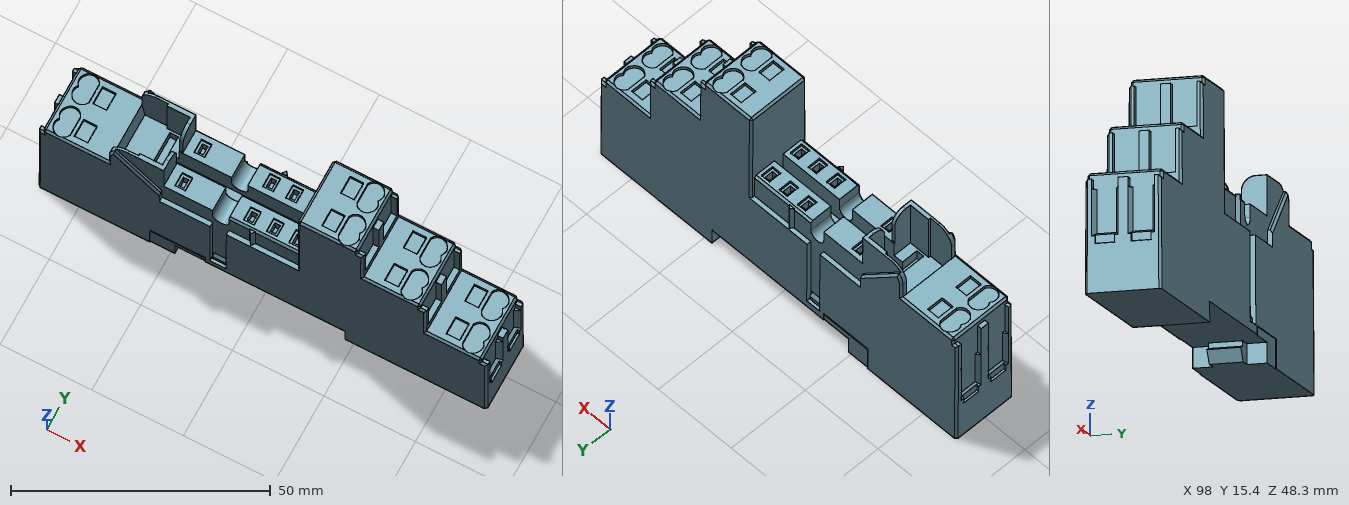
import cadquery as cq
import math

LENGTH = 98.0
HEIGHT = 48.3
HALF_WIDTH_BOTTOM = 7.7
HALF_WIDTH_TOP = 7.4
HALF_WIDTH_CORE = 6.6
EDGE_CHAMFER = 0.5
NEAR = 0.1
FAR = LENGTH

SETBACK_DROP = 1.5
LEFT_SETBACK = 1.0
RIGHT_SETBACK = 1.3
LEFT_DECK_Z = 30.5
TOWER_X = 56.5
RIGHT_STEPS = [(70.9, HEIGHT), (84.6, 36.1), (LENGTH, 24.0)]
STEP_FLOORS = [deck_z for _, deck_z in RIGHT_STEPS[1:]] + [0]

SLOT_LEFT = 29.8
SLOT_RIGHT = 67.0
SLOT_TOP = 4.1
HOOK_WIDTH = 6.9
HOOK_TIP_Z = 2.5
HOOK_NECK_Z = 3.0
LEFT_HOOK_FOOT = 2.3
LEFT_HOOK_TIP = 3.9
LEFT_HOOK_NECK = 2.7
RIGHT_HOOK_TIP = 1.8
RIGHT_HOOK_NECK = 0.5
CLIP_PANEL_X = (24.4, 36.5)
CLIP_PANEL_TOP = 5.9
CLIP_PANEL_DEPTH = 0.2

EAR_LEFT = 15.3
EAR_RIGHT = 26.9
EAR_TOP = 37.9
EAR_RADIUS = 3.7
SHOULDER_X = 26.5
SHOULDER_Z = 23.6
EAR_SLANT_FOOT_Z = 27.0
END_WALL = 0.8
POCKET_FLOOR = 26.0
POCKET_HALF_WIDTH = 6.1
POCKET_WALL_LEAN = 0.7
EAR_STEP_X = 21.1
EAR_THICK_HALF_WIDTH = 5.6
END_GAP_HALF_WIDTH = 1.4
END_WALL_RADIUS = 2.9

SEAT_Z = 29.8
GROOVE_LEFT = 37.5
GROOVE_WIDTH = 3.5
GROOVE_BOTTOM = 25.4
CHANNEL_HALF_WIDTH = 1.2
CHANNEL_FLOOR = 23.5
CROSSBAR_X = (22.0, 23.8)
CROSSBAR_HALF_WIDTH = 5.1
CONTACT_X = [29.8, 44.8, 49.8, 54.7]
CONTACT_Y = 3.9
CONTACT_MOUTH = (2.3, 3.0)
CONTACT_MOUTH_DEPTH = 0.6
CONTACT_SLIT = (1.2, 2.0)
CONTACT_DEPTH = 2.9
SEAT_CHAMFER = 0.5
KEY_X = 46.3
KEY_WIDTH = 1.3
KEY_RISE = 0.8

SIDE_GROOVE_BOTTOM = 5.9
WEDGE_BASE = 6.2
WEDGE_SHOULDER = 7.1
WEDGE_TOP = 7.9
WEDGE_OUTSIDE = 0.6
WEDGE_WIDTH = 2.9

ENTRY_DEPTH = 0.8
TERMINAL_Y = 3.8
DRIVER_SIZE = (2.9, 3.9)
WIRE_WIDTH = 3.9
WIRE_LENGTH = 6.8
WIRE_CUSP = 0.5
WIRE_FLAT_HALF = 2.2
WIRE_LOBE_Y = 1.2
WIRE_LOBE_END_Y = 2.5
LEFT_WIRE_INNER = 6.1
LEFT_DRIVER_CENTRE = 8.3
RIGHT_WIRE_INNER = 6.2
RIGHT_DRIVER_CENTRE = 8.4

PANEL_INNER_Y = 1.0
PANEL_OUTER_Y = 6.4
PANEL_NARROW_LOSS = 0.7
PANEL_NARROW_Z = 21.4
PANEL_BOTTOM = 11.3
TONGUE_BOTTOM = 9.8
TONGUE_DEPTH = 0.5
PANEL_FLOOR_GAP = 2.0


def box(x0, x1, y0, y1, z0, z1):
    return cq.Workplane("XY").box(x1 - x0, y1 - y0, z1 - z0, centered=False).translate((x0, y0, z0))


def both_sides(solid):
    return solid.union(solid.mirror("XZ"))


def plate(outline, half_width):
    return outline.close().extrude(half_width, both=True)


def full_width_outline():
    """Closed side outline of the parts that reach the full width."""
    def on_ear_corner(degrees):
        angle = math.radians(degrees)
        return (
            EAR_LEFT + EAR_RADIUS * (1 - math.cos(angle)),
            EAR_TOP - EAR_RADIUS * (1 - math.sin(angle)),
        )

    outline = (
        cq.Workplane("XZ")
        .moveTo(0, 0)
        .lineTo(0, LEFT_DECK_Z - SETBACK_DROP)
        .lineTo(LEFT_SETBACK, LEFT_DECK_Z - SETBACK_DROP)
        .lineTo(LEFT_SETBACK, LEFT_DECK_Z)
        .lineTo(EAR_LEFT, LEFT_DECK_Z)
        .lineTo(EAR_LEFT, EAR_TOP - EAR_RADIUS)
        .threePointArc(on_ear_corner(22.5), on_ear_corner(45))
        .lineTo(SHOULDER_X, EAR_SLANT_FOOT_Z)
        .lineTo(SHOULDER_X, SHOULDER_Z)
        .lineTo(TOWER_X, SHOULDER_Z)
        .lineTo(TOWER_X, HEIGHT)
    )
    for (end_x, deck_z), floor_z in zip(RIGHT_STEPS, STEP_FLOORS):
        outline = (
            outline.lineTo(end_x - RIGHT_SETBACK, deck_z)
            .lineTo(end_x - RIGHT_SETBACK, deck_z - SETBACK_DROP)
            .lineTo(end_x, deck_z - SETBACK_DROP)
            .lineTo(end_x, floor_z)
        )
    return (
        outline.lineTo(SLOT_RIGHT, 0)
        .lineTo(SLOT_RIGHT, SLOT_TOP)
        .lineTo(SLOT_LEFT, SLOT_TOP)
        .lineTo(SLOT_LEFT, 0)
    )


def make_housing():
    """Full-width housing: slightly tapered in width, with chamfered side edges."""
    taper = (
        cq.Workplane("YZ")
        .polyline([
            (-HALF_WIDTH_BOTTOM, 0),
            (HALF_WIDTH_BOTTOM, 0),
            (HALF_WIDTH_TOP, HEIGHT),
            (-HALF_WIDTH_TOP, HEIGHT),
        ])
        .close()
        .extrude(LENGTH)
    )
    housing = plate(full_width_outline(), HALF_WIDTH_BOTTOM).intersect(taper)

    def is_outer(edge):
        c = edge.Center()
        beside_seat = SHOULDER_X - NEAR < c.x < TOWER_X - NEAR
        on_shoulder = beside_seat and c.z < EAR_SLANT_FOOT_Z - NEAR
        return c.z > SLOT_TOP + NEAR and not on_shoulder

    deck_ends = [(LEFT_SETBACK, LEFT_DECK_Z), (TOWER_X, HEIGHT)]
    deck_ends += [(end_x - RIGHT_SETBACK, deck_z) for end_x, deck_z in RIGHT_STEPS]

    def is_deck_end(edge):
        c = edge.Center()
        return any(math.hypot(c.x - x, c.z - z) < NEAR for x, z in deck_ends)

    edges = [e for side in ("<Y", ">Y") for e in housing.faces(side).edges().vals() if is_outer(e)]
    edges += [e for e in housing.edges("|Y").vals() if is_deck_end(e)]
    return housing.newObject(edges).chamfer(EDGE_CHAMFER)


def make_core():
    """Narrower middle: the relay seat and the upper part of the ears."""
    ears = (
        box(EAR_LEFT, EAR_RIGHT, -HALF_WIDTH_CORE, HALF_WIDTH_CORE, SLOT_TOP, EAR_TOP)
        .edges("|Y and <X and >Z")
        .fillet(EAR_RADIUS)
    )
    seat = box(EAR_RIGHT, TOWER_X, -HALF_WIDTH_CORE, HALF_WIDTH_CORE, SLOT_TOP, SEAT_Z)
    groove_right = GROOVE_LEFT + GROOVE_WIDTH
    row_edges = (
        cq.Workplane("YZ")
        .polyline([
            (HALF_WIDTH_CORE, SEAT_Z),
            (HALF_WIDTH_CORE, SEAT_Z - SEAT_CHAMFER),
            (HALF_WIDTH_CORE - SEAT_CHAMFER, SEAT_Z),
        ])
        .close()
        .extrude(TOWER_X - groove_right)
        .translate((groove_right, 0, 0))
    )
    key = (
        cq.Workplane("XY")
        .polyline([
            (KEY_X - KEY_WIDTH / 2, HALF_WIDTH_CORE),
            (KEY_X + KEY_WIDTH / 2, HALF_WIDTH_CORE),
            (KEY_X, HALF_WIDTH_CORE + KEY_RISE),
        ])
        .close()
        .extrude(SEAT_Z - SHOULDER_Z)
        .translate((0, 0, SHOULDER_Z))
    )
    return ears.union(seat).cut(both_sides(row_edges)).union(both_sides(key))


def make_groove():
    """Round-bottomed groove across the seat, and the upright grooves in the sides."""
    radius = GROOVE_WIDTH / 2
    middle = GROOVE_LEFT + radius
    right = GROOVE_LEFT + GROOVE_WIDTH
    across = plate(
        cq.Workplane("XZ")
        .moveTo(GROOVE_LEFT, HEIGHT)
        .lineTo(GROOVE_LEFT, GROOVE_BOTTOM + radius)
        .threePointArc((middle, GROOVE_BOTTOM), (right, GROOVE_BOTTOM + radius))
        .lineTo(right, HEIGHT),
        HALF_WIDTH_BOTTOM,
    )
    upright = box(GROOVE_LEFT, right, HALF_WIDTH_CORE, FAR, SIDE_GROOVE_BOTTOM, HEIGHT)
    wedge = (
        cq.Workplane("YZ")
        .polyline([
            (HALF_WIDTH_CORE, WEDGE_BASE),
            (HALF_WIDTH_CORE + WEDGE_OUTSIDE, WEDGE_BASE),
            (HALF_WIDTH_CORE + WEDGE_OUTSIDE, WEDGE_SHOULDER),
            (HALF_WIDTH_CORE, WEDGE_TOP),
        ])
        .close()
        .extrude(WEDGE_WIDTH / 2, both=True)
        .translate((middle, 0, 0))
    )
    return across.union(both_sides(upright.cut(wedge)))


def make_pocket():
    """Space between the ears, the gap in their end walls and the T-shaped channel."""
    wall_x = EAR_RIGHT - END_WALL
    wide = plate(
        cq.Workplane("XZ").polyline([
            (EAR_LEFT + POCKET_WALL_LEAN, POCKET_FLOOR),
            (EAR_STEP_X, POCKET_FLOOR),
            (EAR_STEP_X, HEIGHT),
            (EAR_LEFT, HEIGHT),
            (EAR_LEFT, LEFT_DECK_Z),
        ]),
        POCKET_HALF_WIDTH,
    )
    narrow = box(EAR_STEP_X, wall_x, -EAR_THICK_HALF_WIDTH, EAR_THICK_HALF_WIDTH, POCKET_FLOOR, HEIGHT)
    gap_half = (
        cq.Workplane("YZ")
        .moveTo(0, SEAT_Z)
        .lineTo(END_GAP_HALF_WIDTH, SEAT_Z)
        .lineTo(END_GAP_HALF_WIDTH, EAR_TOP - END_WALL_RADIUS)
        .radiusArc((END_GAP_HALF_WIDTH + END_WALL_RADIUS, EAR_TOP), END_WALL_RADIUS)
        .lineTo(0, EAR_TOP)
        .close()
        .extrude(END_WALL)
        .translate((wall_x, 0, 0))
    )
    stem = box(CROSSBAR_X[0], TOWER_X, -CHANNEL_HALF_WIDTH, CHANNEL_HALF_WIDTH, CHANNEL_FLOOR, SEAT_Z)
    crossbar = box(*CROSSBAR_X, -CROSSBAR_HALF_WIDTH, CROSSBAR_HALF_WIDTH, CHANNEL_FLOOR, SEAT_Z)
    return wide.union(narrow).union(both_sides(gap_half)).union(stem).union(crossbar)


def make_contacts():
    """Plug openings in the two contact rows: a shallow mouth over a narrower slit."""
    places = [(x, y) for x in CONTACT_X for y in (-CONTACT_Y, CONTACT_Y)]
    top = cq.Workplane("XY", origin=(0, 0, SEAT_Z)).pushPoints(places)
    mouths = top.rect(*CONTACT_MOUTH).extrude(-CONTACT_MOUTH_DEPTH)
    slits = top.rect(*CONTACT_SLIT).extrude(-CONTACT_DEPTH)
    return mouths.union(slits)


def make_terminals(end_x, inward, deck_z, wire_inner, driver_centre):
    """Wire and driver openings in one deck; inward is the X direction away from its end."""
    half_length = WIRE_LENGTH / 2
    flat_x = end_x + inward * wire_inner
    mid_x = flat_x - inward * WIRE_WIDTH / 2
    outer_x = flat_x - inward * WIRE_WIDTH
    cusp_x = outer_x + inward * WIRE_CUSP
    cutter = cq.Workplane("XY")
    for y in (-TERMINAL_Y, TERMINAL_Y):
        wire = (
            cq.Workplane("XY", origin=(0, y, deck_z))
            .moveTo(flat_x, -WIRE_FLAT_HALF)
            .lineTo(flat_x, WIRE_FLAT_HALF)
            .threePointArc((mid_x, half_length), (cusp_x, WIRE_LOBE_END_Y))
            .threePointArc((outer_x, WIRE_LOBE_Y), (cusp_x, 0))
            .threePointArc((outer_x, -WIRE_LOBE_Y), (cusp_x, -WIRE_LOBE_END_Y))
            .threePointArc((mid_x, -half_length), (flat_x, -WIRE_FLAT_HALF))
            .close()
            .extrude(-ENTRY_DEPTH)
        )
        driver = (
            cq.Workplane("XY", origin=(end_x + inward * driver_centre, y, deck_z))
            .rect(*DRIVER_SIZE)
            .extrude(-ENTRY_DEPTH)
        )
        cutter = cutter.union(wire).union(driver)
    return cutter


def make_panels(end_x, inward, depth, top_z, floor_z):
    """Pair of marking panels in one end face, open at the top."""
    def slab(trim, thickness, z0, z1):
        x0, x1 = sorted((end_x, end_x + inward * thickness))
        return box(x0, x1, PANEL_INNER_Y + trim, PANEL_OUTER_Y - trim, z0, z1)

    if floor_z > 0:
        return both_sides(slab(0, depth, floor_z + PANEL_FLOOR_GAP, top_z))
    width = PANEL_OUTER_Y - PANEL_INNER_Y
    height = PANEL_NARROW_Z - PANEL_BOTTOM
    centre_y = (PANEL_OUTER_Y + PANEL_INNER_Y) / 2
    centre_z = (PANEL_NARROW_Z + PANEL_BOTTOM) / 2
    sloped = (
        cq.Workplane("YZ", origin=(end_x, centre_y, centre_z))
        .rect(width, height)
        .workplane(offset=inward * depth)
        .rect(width - 2 * PANEL_NARROW_LOSS, height - 2 * PANEL_NARROW_LOSS)
        .loft()
    )
    upper = slab(0, depth, PANEL_NARROW_Z - PANEL_NARROW_LOSS, top_z)
    tongue = slab(PANEL_NARROW_LOSS, TONGUE_DEPTH, TONGUE_BOTTOM, PANEL_NARROW_Z)
    panel = sloped.union(upper).union(tongue)
    return both_sides(panel)


def make_hooks():
    """Catches that grip the mounting rail at both ends of the slot."""
    left = plate(
        cq.Workplane("XZ").polyline([
            (SLOT_LEFT, 0),
            (SLOT_LEFT + LEFT_HOOK_FOOT, 0),
            (SLOT_LEFT + LEFT_HOOK_TIP, HOOK_TIP_Z),
            (SLOT_LEFT + LEFT_HOOK_NECK, HOOK_NECK_Z),
            (SLOT_LEFT + LEFT_HOOK_NECK, SLOT_TOP),
            (SLOT_LEFT, SLOT_TOP),
        ]),
        HOOK_WIDTH / 2,
    )
    right = plate(
        cq.Workplane("XZ").polyline([
            (SLOT_RIGHT, 0),
            (SLOT_RIGHT - RIGHT_HOOK_TIP, HOOK_TIP_Z),
            (SLOT_RIGHT - RIGHT_HOOK_NECK, HOOK_NECK_Z),
            (SLOT_RIGHT - RIGHT_HOOK_NECK, SLOT_TOP),
            (SLOT_RIGHT, SLOT_TOP),
        ]),
        HOOK_WIDTH / 2,
    )
    return left.union(right)


def make_clip_panels():
    """Shallow relief in both sides around the rail clip."""
    return both_sides(
        box(*CLIP_PANEL_X, HALF_WIDTH_BOTTOM - CLIP_PANEL_DEPTH, FAR, 0, CLIP_PANEL_TOP)
    )


body = make_housing().union(make_core())
body = body.cut(make_groove()).cut(make_pocket()).cut(make_contacts()).cut(make_clip_panels())

body = body.cut(make_terminals(0, 1, LEFT_DECK_Z, LEFT_WIRE_INNER, LEFT_DRIVER_CENTRE))
body = body.cut(make_panels(0, 1, LEFT_SETBACK, LEFT_DECK_Z - SETBACK_DROP, 0))

for (step_x, step_z), step_floor in zip(RIGHT_STEPS, STEP_FLOORS):
    body = body.cut(make_terminals(step_x, -1, step_z, RIGHT_WIRE_INNER, RIGHT_DRIVER_CENTRE))
    body = body.cut(make_panels(step_x, -1, RIGHT_SETBACK, step_z - SETBACK_DROP, step_floor))

result = body.union(make_hooks())